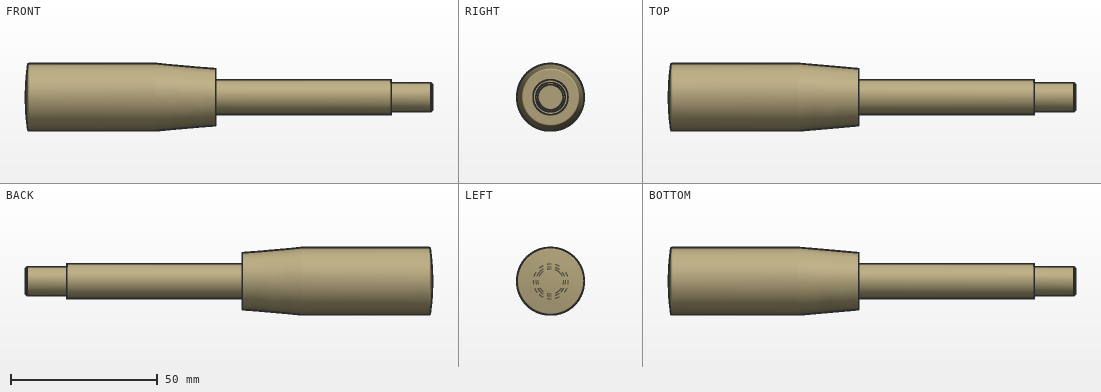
import cadquery as cq

total_length = 138.9
grip_radius = 11.5
grip_end_radius = 9.7
rod_radius = 6.0
tip_radius = 5.0

taper_start = 44.5
grip_length = 65.0
tip_length = 14.2

dome_height = 0.8
cap_fillet = 0.7
mouth_fillet = 0.4
tip_chamfer = 0.7

tip_start = total_length / 2 - tip_length
grip_back = -total_length / 2
grip_front = grip_back + grip_length


def make_grip():
    """Cylindrical grip with a slightly domed end and a tapered mouth."""
    rim_x = grip_back + dome_height
    half_height_radius = grip_radius / 2**0.5
    profile = (
        cq.Workplane("XY")
        .moveTo(grip_back, 0)
        .threePointArc((grip_back + dome_height / 2, half_height_radius), (rim_x, grip_radius))
        .lineTo(grip_back + taper_start, grip_radius)
        .lineTo(grip_front, grip_end_radius)
        .lineTo(grip_front, 0)
        .close()
    )
    grip = profile.revolve(360, (0, 0, 0), (1, 0, 0))
    grip = grip.faces(">X").edges().fillet(mouth_fillet)
    cap_rim = cq.selectors.BoxSelector(
        (rim_x - dome_height / 2, -2 * grip_radius, -2 * grip_radius),
        (rim_x + dome_height / 2, 2 * grip_radius, 2 * grip_radius),
        boundingbox=True,
    )
    return grip.edges(cap_rim).edges("%CIRCLE").fillet(cap_fillet)


def make_rod():
    """Plain rod leaving the grip, with a thinner chamfered tip."""
    rod = cq.Workplane("YZ", origin=(grip_front, 0, 0)).circle(rod_radius).extrude(tip_start - grip_front)
    tip = cq.Workplane("YZ", origin=(tip_start, 0, 0)).circle(tip_radius).extrude(tip_length)
    tip = tip.faces(">X").edges().chamfer(tip_chamfer)
    return rod.union(tip)


result = make_grip().union(make_rod())